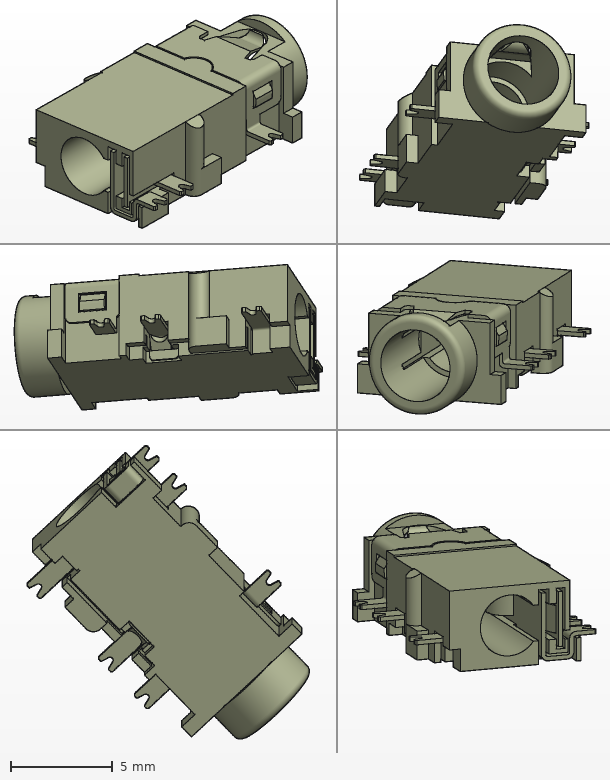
import cadquery as cq
import math

length = 14.0
tab_span = 9.11
barrel_diameter = 5.0
floor_z = -2.11

barrel_back = 11.95
barrel_fillet = 0.32
flat_z = 1.96
flat_end = 13.22
flange_back = 11.25
plug_hole_radius = 1.54
barrel_bore_radius = 1.8

half_width = 3.16
left_bulge_x = -3.28
bulge_start = 4.95
housing_end = 8.45
low_roof_z = 2.02
high_roof_z = 2.1
roof_step_y = 7.46
roof_tongue_radius = 0.91
roof_tongue_tip = 9.09
roof_tongue_floor = 1.89

foot_x = 3.75
foot_top_z = -0.65
post_y = 4.44
post_radius = 0.5
post_edge_z = 1.71
foot_length = 1.5

shell_half_width = 3.01
shell_top_z = 2.14
shell_gap = 0.04
core_half_width = 2.85
shell_back = housing_end + shell_gap
shell_tab_y = 8.67
shell_radius = 0.42
shell_skirt_z = -0.07
skirt_chamfer = 0.28
window_y = (9.17, 10.58)
window_z = (0.46, 1.43)
latch_x = 3.11
latch_crest_z = (0.81, 0.98)
latch_draft = 0.03

opening_foot_x = 1.53
opening_foot_y = 10.49
opening_shoulder = (0.88, 12.6)
opening_taper = 20
opening_depth = 0.39
notch_edge_x = 1.76
notch_radius = 0.22
tongue_inset = 0.2
tongue_thickness = 0.14
tongue_root_y = 10.85
tongue_bend_y = 11.15
tongue_slope_start = (11.55, 2.0)
tongue_slope_end = (12.26, 1.74)
tongue_trough_y = 12.65
tongue_trough_z = 1.58
tongue_tip_y = 12.99
tongue_tip_z = 2.05

metal = 0.22
bend_radius = 0.11
tab_z = -0.71
tab_width = 1.01
tab_mouth = 0.53
tab_notch_depth = 0.52
tab_notch_radius = 0.17
tab_corner = 0.07
clearance = 0.1
recess_top_z = tab_z + metal / 2 + clearance

plate_a_x = 1.79
plate_b_x = 2.67
plate_top_z = 1.48
slot_depth = 3.5
slot_top_z = 1.67
channel_half_height = 0.91
u_bottom_z = -1.86
u_arm_x = 3.26
u_recess_depth = 1.04
u_inner_x = 3.05
u_outer_x = 3.51
b_tab_y = 1.96
slot_a = (1.53, 2.06)
slot_b = (2.45, 2.91)
core_floor_z = -1.62
slot_b_floor = -1.41
plate_b_bottom_z = -1.3
anchor = 0.14
leaf_a_crest_x = 0.67
leaf_a_y = (3.92, 6.16)
leaf_a_half_height = 0.56
leaf_b_crest_x = 2.2
leaf_b_y = (0.14, 3.43)
leaf_b_half_height = 0.7
channel_side = 1.68
channel_end = 11.25

left_leg_x = -1.96
notch_wall_x = -2.59
groove_x = -2.81
left_front_y = 1.01
left_mid_y = 6.1
mid_foot_y = (5.73, 7.21)
mid_foot_z = (-2.02, -1.53)
foot_radius = 0.22
gusset_reach = 0.56
dimple_radius = 0.43
mid_recess = (4.94, 8.1)
mid_recess_z = -1.5
corner_notch_z = -0.97

tab_end = tab_span / 2
barrel_radius = barrel_diameter / 2


def block(x0, x1, y0, y1, z0, z1):
    """Box between two corners, given axis by axis."""
    return cq.Workplane("XY").box(x1 - x0, y1 - y0, z1 - z0, centered=False).translate((x0, y0, z0))


def y_cylinder(radius, y0, y1):
    """Cylinder on the jack axis."""
    return cq.Workplane("XZ", origin=(0, y0, 0)).circle(radius).extrude(y0 - y1)


def strip(path, y0, y1):
    """Sheet-metal strip along a right-angled XZ centre path, with rounded bends.

    Both free ends reach half a thickness beyond the path.
    """
    half = metal / 2
    sheet = None
    for (xa, za), (xb, zb) in zip(path, path[1:]):
        x0, x1 = sorted((xa, xb))
        z0, z1 = sorted((za, zb))
        leg = block(x0 - half, x1 + half, y0, y1, z0 - half, z1 + half)
        sheet = leg if sheet is None else sheet.union(leg)
    sheet = sheet.clean()
    for before, bend, after in zip(path, path[1:], path[2:]):
        inward = [math.copysign(half, before[i] + after[i] - 2 * bend[i]) for i in (0, 1)]
        for side, radius in ((1, bend_radius), (-1, bend_radius + metal)):
            corner = (bend[0] + side * inward[0], (y0 + y1) / 2, bend[1] + side * inward[1])
            sheet = sheet.edges("|Y").edges(cq.selectors.NearestToPointSelector(corner)).fillet(radius)
    return sheet


def fork(side, y0):
    """Tool that cuts the forked solder end of a tab."""
    middle = y0 + tab_width / 2
    root = tab_end - tab_notch_depth
    shoulder = root + tab_notch_radius
    half_mouth = tab_mouth / 2
    return (
        cq.Workplane("XY", origin=(0, 0, tab_z - metal))
        .moveTo(side * tab_end, middle - half_mouth)
        .lineTo(side * shoulder, middle - tab_notch_radius)
        .threePointArc((side * root, middle), (side * shoulder, middle + tab_notch_radius))
        .lineTo(side * tab_end, middle + half_mouth)
        .close()
        .extrude(2 * metal)
    )


def contact(path, y0):
    """Strip ending in a forked solder tab; the last path point is the tab end."""
    side = math.copysign(1, path[-1][0])
    inset = path[:-1] + [(side * (tab_end - metal / 2), tab_z)]
    sheet = strip(inset, y0, y0 + tab_width)
    tip = cq.selectors.NearestToPointSelector
    for y in (y0, y0 + tab_width):
        sheet = sheet.edges("|Z").edges(tip((side * tab_end, y, tab_z))).chamfer(tab_corner)
    return sheet.cut(fork(side, y0))


def leaf(root_x, crest_x, y0, y1, half_height):
    """Bowed spring leaf that reaches from root_x toward the jack axis."""
    middle = (y0 + y1) / 2
    return (
        cq.Workplane("XY", origin=(0, 0, -half_height))
        .moveTo(root_x, y0)
        .threePointArc((crest_x, middle), (root_x, y1))
        .lineTo(root_x, y1 - metal)
        .threePointArc((crest_x + metal, middle), (root_x, y0 + metal))
        .close()
        .extrude(2 * half_height)
    )


def make_barrel():
    barrel = y_cylinder(barrel_radius, barrel_back, length).faces(">Y").edges().fillet(barrel_fillet)
    flat = block(-barrel_radius, barrel_radius, barrel_back, flat_end, flat_z, barrel_radius)
    return barrel.cut(flat)


def make_flange():
    upper = block(-half_width, half_width, flange_back, barrel_back, floor_z, flat_z)
    lower = block(-foot_x, foot_x, flange_back, barrel_back, floor_z, foot_top_z)
    return upper.union(lower)


def roof_tongue(radius, z1):
    """Half-round lip at the end of the raised roof, up to height z1."""
    centre_y = roof_tongue_tip - roof_tongue_radius
    base = cq.Workplane("XY", origin=(0, centre_y, roof_tongue_floor))
    disc = base.circle(radius).extrude(z1 - roof_tongue_floor)
    return disc.cut(block(-radius, radius, 0, roof_step_y + shell_gap, roof_tongue_floor, z1))


def make_housing():
    main = block(-half_width, half_width, 0, housing_end, floor_z, low_roof_z)
    bulge = block(left_bulge_x, 0, bulge_start, housing_end, floor_z, low_roof_z)
    raised = block(left_bulge_x, half_width, roof_step_y, housing_end, 0, high_roof_z)
    core = block(-core_half_width, core_half_width, housing_end, flange_back, floor_z, flat_z)
    return main.union(bulge).union(raised).union(core).union(roof_tongue(roof_tongue_radius, high_roof_z))


def make_post(side):
    """Half-round post on a side wall, with a sloped top."""
    height = low_roof_z - floor_z
    axis_x = foot_x - post_radius
    post = cq.Workplane("XY", origin=(side * axis_x, post_y, floor_z)).circle(post_radius).extrude(height)
    root_x0, root_x1 = sorted((0, side * axis_x))
    root = block(root_x0, root_x1, post_y - post_radius, post_y + post_radius, floor_z, low_roof_z)
    slope = (
        cq.Workplane("XZ", origin=(0, post_y + 2 * post_radius, 0))
        .polyline([
            (side * half_width, low_roof_z),
            (side * foot_x, post_edge_z),
            (side * foot_x, low_roof_z),
        ])
        .close()
        .extrude(4 * post_radius)
    )
    return post.union(root).cut(slope)


def make_feet():
    left = block(-foot_x, 0, post_y - foot_length, post_y, floor_z, foot_top_z)
    right = block(0, foot_x, post_y, post_y + foot_length, floor_z, foot_top_z)
    front_right = block(0, foot_x, 0, b_tab_y, floor_z, tab_z - metal)
    return left.union(right).union(front_right)


def make_shell():
    shell = (
        block(-shell_half_width, shell_half_width, shell_back, flange_back, shell_skirt_z, shell_top_z)
        .edges("|Y and >Z").fillet(shell_radius)
        .edges("|X and <Z and >Y").fillet(bend_radius + metal)
        .edges("|X and <Z and <Y").chamfer(skirt_chamfer)
    )
    core = block(-core_half_width, core_half_width, shell_back, flange_back, shell_skirt_z, flat_z)
    shell = shell.cut(core)
    for side in (-1, 1):
        x0, x1 = sorted((side * core_half_width, side * tab_end))
        shell = shell.cut(block(x0, x1, *window_y, *window_z))
        leg_x = side * (shell_half_width - metal / 2)
        shell = shell.union(contact([(leg_x, 0), (leg_x, tab_z), (side * tab_end, tab_z)], shell_tab_y))
        shell = shell.union(make_latch(side))
    shell = shell.cut(roof_tongue(roof_tongue_radius + shell_gap, shell_top_z))
    return shell.cut(make_shell_notches())


def make_shell_notches():
    """Relief on both sides of the spring tongue, where the housing shows through."""
    relief = (
        block(-notch_edge_x, notch_edge_x, opening_foot_y, flange_back, flat_z, shell_top_z)
        .edges("|Z and <Y").fillet(notch_radius)
    )
    tongue_base = (
        v_outline(tongue_inset, cq.Workplane("XY")).extrude(shell_top_z)
        .intersect(block(-notch_edge_x, notch_edge_x, 0, tongue_root_y, 0, shell_top_z))
    )
    return relief.cut(tongue_base)


def make_latch(side):
    """Wedge on the housing that snaps into the shell window."""
    return (
        cq.Workplane("XZ", origin=(0, window_y[1] - shell_gap * 2, 0))
        .polyline([
            (side * core_half_width, window_z[1] - shell_gap),
            (side * latch_x, latch_crest_z[1]),
            (side * latch_x, latch_crest_z[0]),
            (side * (latch_x - latch_draft), window_z[0] + shell_gap),
            (side * (core_half_width - metal), window_z[0] + shell_gap),
        ])
        .close()
        .extrude(window_y[1] - window_y[0] - 4 * shell_gap)
    )


def v_outline(inset, plane):
    """V-shaped outline with a rounded tip, drawn inside the opening by inset."""
    tip_y = flat_end - inset
    shoulder_x = opening_shoulder[0] - inset
    shoulder_y = opening_shoulder[1] - inset / 2
    foot = opening_foot_x - inset
    return (
        plane
        .moveTo(-foot, opening_foot_y)
        .lineTo(-shoulder_x, shoulder_y)
        .threePointArc((0, tip_y), (shoulder_x, shoulder_y))
        .lineTo(foot, opening_foot_y)
        .close()
    )


def make_opening():
    """V-shaped opening in the flange: tapered near the top, straight below."""
    roof = cq.Workplane("XY", origin=(0, 0, flat_z))
    sink = v_outline(0, roof).extrude(-opening_depth, taper=opening_taper)
    inset = opening_depth * math.tan(math.radians(opening_taper))
    through = v_outline(inset, cq.Workplane("XY")).extrude(flat_z)
    return sink.union(through)


def make_tongue():
    """Spring tongue: bends down into the opening, then curls up at its tip."""
    trough_top_z = tongue_trough_z + tongue_thickness
    trough_bottom = (tongue_trough_y + tongue_thickness / 2, tongue_trough_z)
    slope_end_bottom = (tongue_slope_end[0], tongue_slope_end[1] - tongue_thickness)
    sheet = (
        cq.Workplane("YZ", origin=(-half_width, 0, 0))
        .moveTo(tongue_root_y, shell_top_z)
        .lineTo(tongue_bend_y, shell_top_z)
        .lineTo(*tongue_slope_start)
        .lineTo(*tongue_slope_end)
        .threePointArc((tongue_trough_y, trough_top_z), (tongue_tip_y - tongue_thickness, tongue_tip_z))
        .lineTo(tongue_tip_y, tongue_tip_z)
        .threePointArc(trough_bottom, slope_end_bottom)
        .lineTo(tongue_slope_start[0], tongue_slope_start[1] - tongue_thickness)
        .lineTo(tongue_bend_y, flat_z)
        .lineTo(tongue_root_y, flat_z)
        .close()
        .extrude(2 * half_width)
    )
    return sheet.intersect(v_outline(tongue_inset, cq.Workplane("XY")).extrude(shell_top_z))


def make_recesses():
    channel = block(0, channel_side, 0, channel_end, -channel_half_height, channel_half_height)
    bridge = block(slot_a[0], slot_b[0], 0, slot_depth, -channel_half_height, channel_half_height)
    tools = channel.union(bridge)
    tools = tools.union(block(*slot_a, 0, slot_depth, core_floor_z, slot_top_z))
    tools = tools.union(block(*slot_b, 0, slot_depth, slot_b_floor, slot_top_z))
    tools = tools.union(block(slot_a[0], u_outer_x, 0, u_recess_depth, floor_z, core_floor_z))
    tools = tools.union(block(u_inner_x, u_outer_x, 0, u_recess_depth, floor_z, recess_top_z))
    tools = tools.union(block(plate_b_x, half_width, 0, b_tab_y + tab_width + clearance,
                              tab_z - metal, recess_top_z))
    front_y0 = left_front_y - clearance
    front_y1 = left_front_y + tab_width + clearance
    mid_y0 = left_mid_y - clearance
    mid_y1 = left_mid_y + tab_width + clearance
    foot_y0 = mid_foot_y[0] - clearance
    foot_y1 = mid_foot_y[1] + 2 * clearance
    left_boxes = [
        (notch_wall_x, 0, front_y1, floor_z, corner_notch_z),
        (notch_wall_x, front_y0, front_y1, floor_z, recess_top_z),
        (left_leg_x, left_front_y, front_y1, floor_z, recess_top_z),
        (left_leg_x, mid_y0, mid_y1, mid_recess_z, recess_top_z),
        (left_leg_x, foot_y0, foot_y1, floor_z, mid_recess_z),
        (notch_wall_x, *mid_recess, floor_z, mid_recess_z),
    ]
    for box in left_boxes:
        tools = tools.union(block(left_bulge_x, *box))
    tools = tools.union(block(groove_x, notch_wall_x, 0, mid_recess[1], floor_z, corner_notch_z))
    return tools


def make_mid_gusset():
    """Sloping underside of the middle left contact, with a spherical dimple."""
    inner_x = left_leg_x
    outer_x = left_leg_x - gusset_reach
    top_z = tab_z - metal / 2
    gusset = (
        cq.Workplane("XZ", origin=(0, left_mid_y + tab_width, 0))
        .polyline([(outer_x, top_z), (inner_x, top_z), (inner_x, mid_foot_z[1]),
                   (inner_x - metal / 2, mid_foot_z[1])])
        .close()
        .extrude(tab_width)
    )
    dimple_y = left_mid_y + tab_width / 2
    dimple = cq.Workplane("XY").sphere(dimple_radius).translate((outer_x, dimple_y, top_z))
    return gusset.cut(dimple)


def make_contacts():
    half = metal / 2
    u_contact = contact([(plate_a_x, plate_top_z - half), (plate_a_x, u_bottom_z), (u_arm_x, u_bottom_z),
                         (u_arm_x, tab_z), (tab_end, tab_z)], 0)
    plate_end = slot_depth + anchor
    plate_a = block(plate_a_x - half, plate_a_x + half, 0, plate_end, core_floor_z - anchor, plate_top_z)
    b_contact = contact([(plate_b_x, 0), (plate_b_x, tab_z), (tab_end, tab_z)], b_tab_y)
    plate_b = block(plate_b_x - half, plate_b_x + half, 0, plate_end, plate_b_bottom_z, plate_top_z)
    parts = u_contact.union(plate_a).union(b_contact).union(plate_b)
    for leg_end_z, y0 in ((floor_z, left_front_y), (mid_foot_z[0], left_mid_y)):
        path = [(left_leg_x, leg_end_z + half), (left_leg_x, tab_z), (-tab_end, tab_z)]
        parts = parts.union(contact(path, y0))
    foot = block(left_leg_x - half, left_leg_x + half, *mid_foot_y, *mid_foot_z)
    foot = foot.edges("|X and <Z").fillet(foot_radius)
    parts = parts.union(foot).union(make_mid_gusset())
    parts = parts.union(leaf(plate_a_x, leaf_a_crest_x, *leaf_a_y, leaf_a_half_height))
    parts = parts.union(leaf(plate_b_x, leaf_b_crest_x, *leaf_b_y, leaf_b_half_height))
    return parts


body = make_housing().union(make_flange()).union(make_barrel()).union(make_feet())
for side in (-1, 1):
    body = body.union(make_post(side))
body = body.cut(y_cylinder(plug_hole_radius, 0, length))
body = body.cut(y_cylinder(barrel_bore_radius, housing_end, length))
body = body.cut(make_recesses()).union(make_shell()).cut(make_opening())
result = body.union(make_tongue()).union(make_contacts())